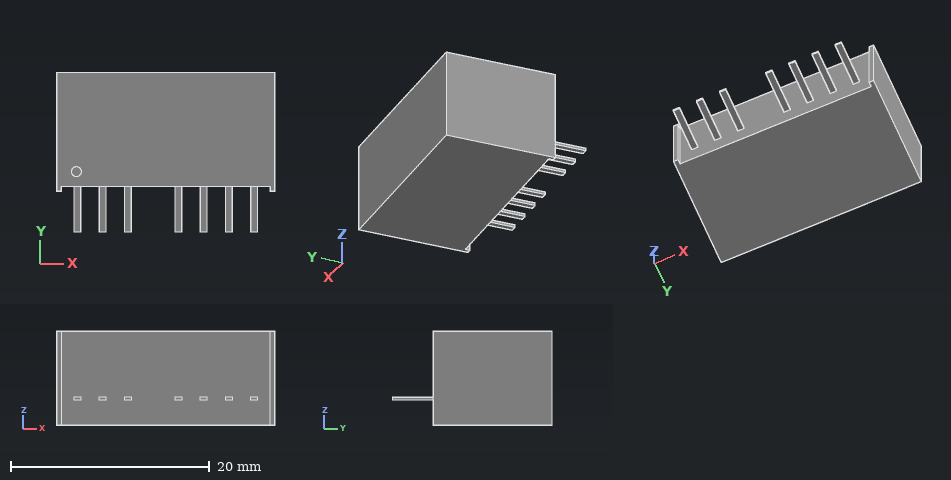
import cadquery as cq

housing_length = 22.0
housing_depth = 12.0
housing_height = 9.5
rib_width = 0.5
rib_depth = 0.5

pin_pitch = 2.54
pin_positions = 8
empty_position = 3
pin_width = 0.7
pin_thickness = 0.3
pin_bottom = 2.55
overall_depth = 16.1
pin_length = overall_depth - housing_depth + rib_depth
first_pin_x = -pin_pitch * (pin_positions - 1) / 2

marker_diameter = 1.0
marker_thickness = 0.1
marker_inset = 2.0

bottom_aligned = (True, False, False)


def make_marker():
    """Disc whose top is flush with the top of the housing."""
    return (
        cq.Workplane("XY", origin=(0, 0, housing_height - marker_thickness))
        .center(-housing_length / 2 + marker_inset, marker_inset)
        .circle(marker_diameter / 2)
        .extrude(marker_thickness)
    )


def make_housing():
    """Block with a rib at each end of the pin side and a recess for the marker."""
    block = cq.Workplane("XY").box(
        housing_length, housing_depth, housing_height, centered=bottom_aligned
    )
    channel = cq.Workplane("XY").box(
        housing_length - 2 * rib_width, rib_depth, housing_height, centered=bottom_aligned
    )
    return block.cut(channel).cut(make_marker())


def make_pin(x):
    """Flat pin standing out from the channel floor, centred on x."""
    return (
        cq.Workplane("XY")
        .box(pin_width, pin_length, pin_thickness, centered=bottom_aligned)
        .translate((x, rib_depth - pin_length, pin_bottom))
    )


housing = make_housing()
marker = make_marker()
pins = []
for position in range(pin_positions):
    if position != empty_position:
        pins.append(make_pin(first_pin_x + position * pin_pitch))

result = cq.Compound.makeCompound(
    [housing.val(), marker.val(), *[pin.val() for pin in pins]]
)